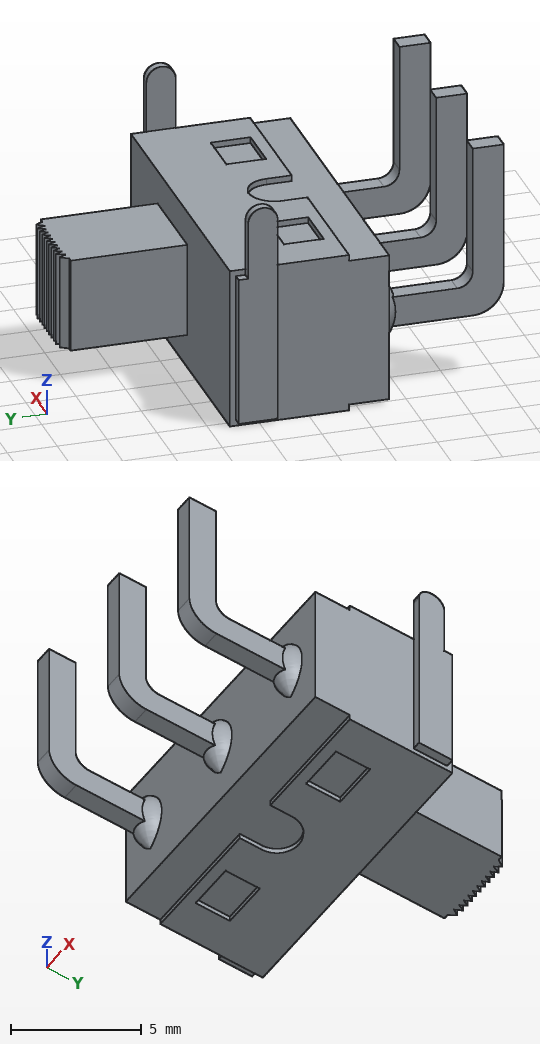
import cadquery as cq
import math


body_width = 12.7
core_depth = 6.15
core_height = 6.11
shell_thickness = 0.25
shell_front = 1.61
shell_rear = core_depth + shell_thickness
shell_height = core_height + 2 * shell_thickness

notch_radius = 1.02
notch_straight = 1.02
window_width = 2.0
window_depth = 1.6
window_spacing = 7.4
window_y = 2.9

ear_thickness = 0.36
ear_front = 4.58
tab_width = 1.18
ear_top = 5.98

slider_size = 3.83
slider_offset = 1.02
slider_shoulder = 11.07
tooth_tip = 11.44
tooth_valley = 11.15
tooth_pitch = 0.3
tooth_count = 11
teeth_width = 3.42
end_tooth_shift = 0.03
end_tooth_drop = 0.05

pin_pitch = 4.7
pin_count = 3
pin_width = 0.77
pin_thickness = 1.25
pin_reach = 5.0
pin_top = 6.47
bend_outer_radius = 1.25
bend_inner_radius = 0.62

bead_radius = 0.75
bead_half_height = 1.51


def box_between(x_size, y_start, y_end, z_size):
    """Box centred on X and Z that spans the given Y range."""
    return cq.Workplane("XY").box(x_size, y_end - y_start, z_size).translate((0, (y_start + y_end) / 2, 0))


def make_shell():
    shell = box_between(body_width, shell_front, shell_rear, shell_height)
    notch_centre_y = shell_front + notch_straight
    notch = box_between(2 * notch_radius, shell_front, notch_centre_y, shell_height)
    notch_end = cq.Workplane("XY").circle(notch_radius).extrude(shell_height / 2, both=True)
    shell = shell.cut(notch).cut(notch_end.translate((0, notch_centre_y, 0)))
    windows = (
        cq.Workplane("XY")
        .pushPoints([(-window_spacing / 2, window_y), (window_spacing / 2, window_y)])
        .rect(window_width, window_depth)
        .extrude(shell_height / 2, both=True)
    )
    return shell.cut(windows)


def make_ear(x_start):
    """Flat end plate with a narrower round-ended tab standing above the core."""
    tab_radius = tab_width / 2
    tab_rear = ear_front + tab_width
    arc_start_z = ear_top - tab_radius
    return (
        cq.Workplane("YZ", origin=(x_start, 0, 0))
        .moveTo(ear_front, -core_height / 2)
        .lineTo(core_depth, -core_height / 2)
        .lineTo(core_depth, core_height / 2)
        .lineTo(tab_rear, core_height / 2)
        .lineTo(tab_rear, arc_start_z)
        .threePointArc((ear_front + tab_radius, ear_top), (ear_front, arc_start_z))
        .close()
        .extrude(ear_thickness)
    )


def make_slider():
    """Square slider whose free end carries a row of teeth, the outermost ones set lower and wider."""
    half_size = slider_size / 2
    end_place = (tooth_count - 1) / 2
    outline = [(-half_size, core_depth), (-half_size, slider_shoulder), (-teeth_width / 2, slider_shoulder)]
    for index in range(tooth_count):
        place = index - end_place
        is_end = index in (0, tooth_count - 1)
        shift = math.copysign(end_tooth_shift, place) if is_end else 0
        drop = end_tooth_drop if is_end else 0
        outline.append((place * tooth_pitch + shift, tooth_tip - drop))
        if index < tooth_count - 1:
            valley_drop = end_tooth_drop if index in (0, tooth_count - 2) else 0
            outline.append(((place + 0.5) * tooth_pitch, tooth_valley - valley_drop))
    outline += [(teeth_width / 2, slider_shoulder), (half_size, slider_shoulder), (half_size, core_depth)]
    slider = cq.Workplane("XY").polyline(outline).close().extrude(slider_size / 2, both=True)
    return slider.translate((slider_offset, 0, 0))


def make_pin(x):
    """Pin that leaves the core along -Y and bends up to +Z."""
    half_thickness = pin_thickness / 2
    inner_y = pin_thickness - pin_reach
    pin = (
        cq.Workplane("YZ")
        .polyline([
            (core_depth / 2, -half_thickness),
            (-pin_reach, -half_thickness),
            (-pin_reach, pin_top),
            (inner_y, pin_top),
            (inner_y, half_thickness),
            (core_depth / 2, half_thickness),
        ])
        .close()
        .extrude(pin_width / 2, both=True)
    )
    outer_corner = cq.selectors.NearestToPointSelector((0, -pin_reach, -half_thickness))
    inner_corner = cq.selectors.NearestToPointSelector((0, inner_y, half_thickness))
    pin = pin.edges("|X").edges(outer_corner).fillet(bend_outer_radius)
    pin = pin.edges("|X").edges(inner_corner).fillet(bend_inner_radius)
    return pin.translate((x, 0, 0))


def make_bead(x):
    """Pointed spindle with a vertical axis on the pin-side face; its outer half bulges from the core."""
    return (
        cq.Workplane("XZ")
        .moveTo(0, -bead_half_height)
        .threePointArc((bead_radius, 0), (0, bead_half_height))
        .close()
        .revolve(360, (0, 0, 0), (0, 1, 0))
        .translate((x, 0, 0))
    )


result = box_between(body_width, 0, core_depth, core_height)
result = result.union(make_shell())
result = result.union(make_slider())
for ear_start in (-body_width / 2 - ear_thickness, body_width / 2):
    result = result.union(make_ear(ear_start))
for pin_index in range(pin_count):
    pin_x = (pin_index - (pin_count - 1) / 2) * pin_pitch
    result = result.union(make_bead(pin_x)).union(make_pin(pin_x))